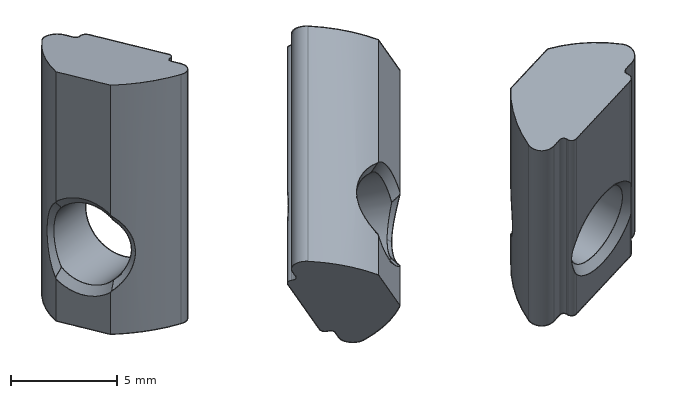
import cadquery as cq
import math

length = 13.0
width = 7.7
depth = 4.3

front_flat_width = 2.96
rib_width = 4.89
rib_height = 0.6
rib_edge_radius = 0.29
rib_root_radius = 0.22
ear_radius = 0.72
ear_end_angle = 26.0

hole_diameter = 4.2
hole_height = 4.21
hole_chamfer = 0.4

shelf_y = depth - rib_height
ear_x = width / 2 - ear_radius
ear_y = shelf_y - ear_radius


def ear_point(angle):
    """Point on the right ear's round, at an angle in degrees from +X."""
    a = math.radians(angle)
    return (ear_x + ear_radius * math.cos(a), ear_y + ear_radius * math.sin(a))


def make_body():
    half = (
        cq.Workplane("XY")
        .moveTo(0, depth)
        .lineTo(rib_width / 2, depth)
        .lineTo(rib_width / 2, shelf_y)
        .lineTo(ear_x, shelf_y)
        .threePointArc(ear_point(0), ear_point(-ear_end_angle))
        .tangentArcPoint((front_flat_width / 2, 0), relative=False)
        .lineTo(0, 0)
        .close()
        .extrude(length)
    )
    body = half.union(half.mirror("YZ")).clean()

    def rib_edges(y):
        corners = [(side * rib_width / 2, y, length / 2) for side in (-1, 1)]
        selector = cq.selectors.NearestToPointSelector
        return selector(corners[0]) + selector(corners[1])

    body = body.edges(rib_edges(depth)).fillet(rib_edge_radius)
    return body.edges(rib_edges(shelf_y)).fillet(rib_root_radius)


def cut_hole(body):
    hole_radius = hole_diameter / 2
    drill = cq.Workplane("XZ", origin=(0, depth, hole_height)).circle(hole_radius).extrude(depth)
    body = body.cut(drill)

    rim_reach = hole_radius + hole_chamfer
    rim = cq.selectors.BoxSelector(
        (-rim_reach, -depth / 2, hole_height - rim_reach),
        (rim_reach, depth / 2, hole_height + rim_reach),
    )
    body = body.edges(rim - cq.selectors.ParallelDirSelector(cq.Vector(0, 1, 0))).chamfer(hole_chamfer)

    cone = cq.Solid.makeCone(
        hole_radius + hole_chamfer,
        hole_radius,
        hole_chamfer,
        pnt=cq.Vector(0, depth, hole_height),
        dir=cq.Vector(0, -1, 0),
    )
    return body.cut(cq.Workplane(obj=cone))


result = cut_hole(make_body())